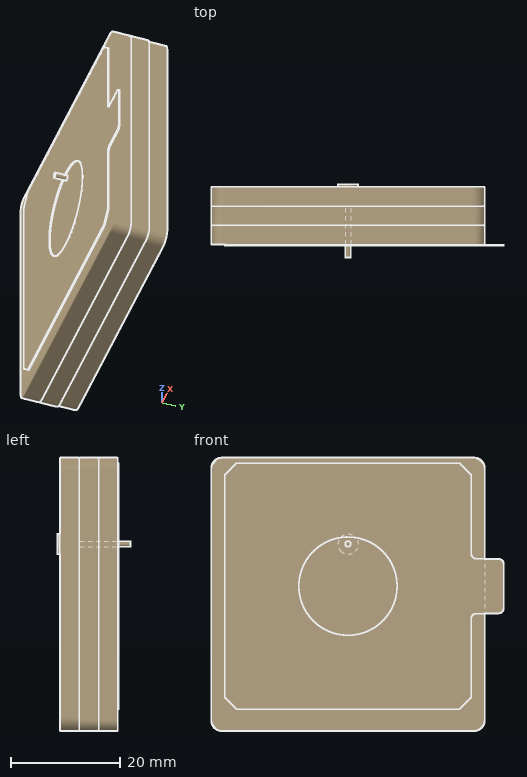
import cadquery as cq

TILE_SIDE = 50.0
TILE_THICKNESS = 3.55
FRONT_CORNER_RADIUS = 2.0
BACK_CORNER_RADIUS = 2.5
RIM_FILLET = 0.2
FRONT_TILE_COUNT = 2
BACK_TILE_Y = FRONT_TILE_COUNT * TILE_THICKNESS
STACK_DEPTH = BACK_TILE_Y + TILE_THICKNESS

OVERALL_LENGTH = 53.5
SHEET_SIDE = 45.0
SHEET_THICKNESS = 0.2
SHEET_CENTRE_Z = 1.5
SHEET_CORNER_CHAMFER = 2.15
WINDOW_DIAMETER = 18.0
TAB_WIDTH = 10.0
TAB_END_RADIUS = 1.0
TAB_ROOT_RADIUS = 1.0
TAB_END_X = OVERALL_LENGTH - TILE_SIDE / 2

PIN_DIAMETER = 1.0
PIN_PROTRUSION = 2.35
PIN_CENTRE_Z = 9.2
HEAD_DIAMETER = 3.7
HEAD_HEIGHT = 0.5


def disc(diameter, centre_z, start_y, end_y):
    """Cylinder along Y between two depths."""
    return (
        cq.Workplane("XZ", origin=(0, start_y, centre_z))
        .circle(diameter / 2)
        .extrude(start_y - end_y)
    )


def block(x_size, z_size, centre_x, centre_z, start_y, end_y):
    """Rectangular block between two depths."""
    return (
        cq.Workplane("XZ", origin=(centre_x, start_y, centre_z))
        .rect(x_size, z_size)
        .extrude(start_y - end_y)
    )


def make_tile(front_y, corner_radius):
    """Square tile with rounded corners and softened front and back rims."""
    return (
        block(TILE_SIDE, TILE_SIDE, 0, 0, front_y, front_y + TILE_THICKNESS)
        .edges("|Y")
        .fillet(corner_radius)
        .faces("<Y or >Y")
        .edges()
        .fillet(RIM_FILLET)
    )


def make_front_tile(index):
    """Tile with a close-fitting hole for the pin of the back tile."""
    front_y = index * TILE_THICKNESS
    pin_hole = disc(PIN_DIAMETER, PIN_CENTRE_Z, front_y, front_y + TILE_THICKNESS)
    return make_tile(front_y, FRONT_CORNER_RADIUS).cut(pin_hole)


def make_back_tile():
    """Tile carrying the feed pin, whose head stands on the back face."""
    pin = disc(PIN_DIAMETER, PIN_CENTRE_Z, -PIN_PROTRUSION, STACK_DEPTH)
    head = disc(HEAD_DIAMETER, PIN_CENTRE_Z, STACK_DEPTH, STACK_DEPTH + HEAD_HEIGHT)
    return make_tile(BACK_TILE_Y, BACK_CORNER_RADIUS).union(pin).union(head)


def make_sheet():
    """Thin chamfered square with a pull tab on the +X side and a window around the pin."""
    square = (
        block(SHEET_SIDE, SHEET_SIDE, 0, SHEET_CENTRE_Z, -SHEET_THICKNESS, 0)
        .edges("|Y")
        .chamfer(SHEET_CORNER_CHAMFER)
    )
    tab = (
        block(TAB_END_X, TAB_WIDTH, TAB_END_X / 2, SHEET_CENTRE_Z, -SHEET_THICKNESS, 0)
        .edges("|Y and >X")
        .fillet(TAB_END_RADIUS)
    )
    root_edges = cq.selectors.BoxSelector(
        (SHEET_SIDE / 2 - TAB_ROOT_RADIUS, -SHEET_THICKNESS, SHEET_CENTRE_Z - TAB_WIDTH),
        (SHEET_SIDE / 2 + TAB_ROOT_RADIUS, 0, SHEET_CENTRE_Z + TAB_WIDTH),
    )
    window = disc(WINDOW_DIAMETER, SHEET_CENTRE_Z, -SHEET_THICKNESS, 0)
    return square.union(tab).edges("|Y").edges(root_edges).fillet(TAB_ROOT_RADIUS).cut(window)


front_tiles = [make_front_tile(index) for index in range(FRONT_TILE_COUNT)]
back_tile = make_back_tile()
sheet = make_sheet()

result = cq.Compound.makeCompound(
    [*[tile.val() for tile in front_tiles], back_tile.val(), sheet.val()]
)